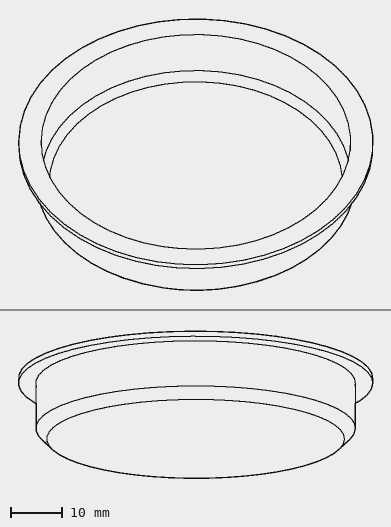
import cadquery as cq
import math

flange_diameter = 68.7
body_diameter = 62.0
bore_diameter = 60.0
height = 12.2
flange_thickness = 1.0
outer_chamfer = 2.1

wall = (body_diameter - bore_diameter) / 2
inner_chamfer = outer_chamfer - wall * (2 - math.sqrt(2))

flange_radius = flange_diameter / 2
body_radius = body_diameter / 2
bore_radius = bore_diameter / 2
flange_underside = height - flange_thickness

section = (
    cq.Workplane("XZ")
    .moveTo(0, 0)
    .lineTo(body_radius - outer_chamfer, 0)
    .lineTo(body_radius, outer_chamfer)
    .lineTo(body_radius, flange_underside)
    .lineTo(flange_radius, flange_underside)
    .lineTo(flange_radius, height)
    .lineTo(bore_radius, height)
    .lineTo(bore_radius, wall + inner_chamfer)
    .lineTo(bore_radius - inner_chamfer, wall)
    .lineTo(0, wall)
    .close()
)

result = section.revolve(360, (0, 0, 0), (0, 1, 0))